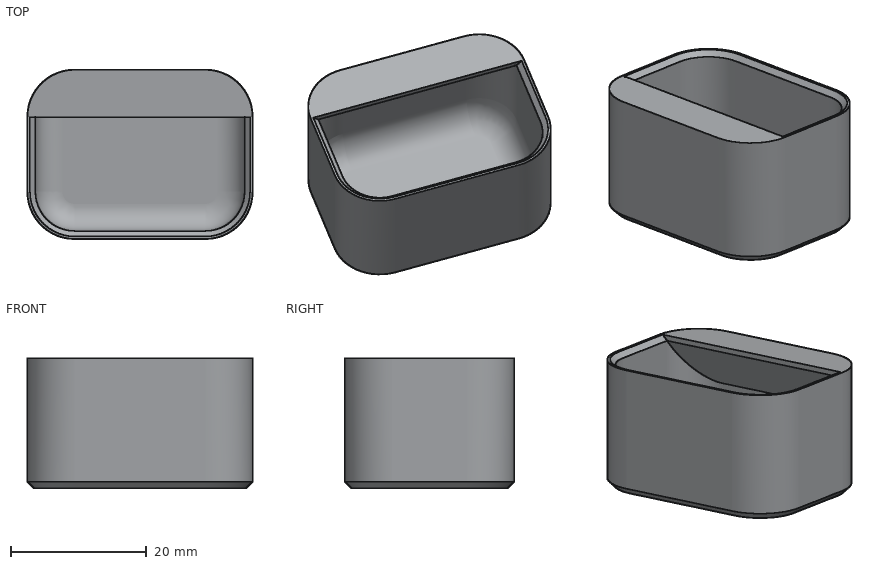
import cadquery as cq
import math

length = 33.25
width = 25.0
height = 19.2
corner_radius = 7.0
bottom_chamfer = 1.0

wall = 1.2
floor = 1.0
floor_fillet = 4.0
rim_chamfer = 0.8
rim_taper = 45.0

shelf_depth = corner_radius
shelf_edge_thickness = rim_chamfer
shelf_overhang_angle = 50.0


def rounded_block(block_length, block_width, block_height, radius):
    """Upright block centred on Z, standing on Z = 0, with rounded vertical edges."""
    block = cq.Workplane("XY").box(block_length, block_width, block_height, centered=(True, True, False))
    return block.edges("|Z").fillet(radius)


def make_body():
    body = rounded_block(length, width, height, corner_radius)
    return body.faces("<Z").chamfer(bottom_chamfer)


def make_cavity():
    """Space inside the walls: rounded at the floor and flared at the rim."""
    cavity = rounded_block(
        length - 2 * wall,
        width - 2 * wall,
        height - floor,
        corner_radius - wall,
    )
    cavity = cavity.faces("<Z").edges().fillet(floor_fillet)
    cavity = cavity.translate((0, 0, floor))

    rim_wall = wall - rim_chamfer
    mouth = cq.Sketch().rect(length - 2 * rim_wall, width - 2 * rim_wall)
    mouth = mouth.vertices().fillet(corner_radius - rim_wall)
    flare = cq.Workplane("XY", origin=(0, 0, height)).placeSketch(mouth)
    flare = flare.extrude(-rim_chamfer, taper=rim_taper)
    return cavity.union(flare)


def make_shelf():
    """Wedge behind the opening, with a short front edge and a sloped underside."""
    back = width / 2
    front = back - shelf_depth
    edge_bottom = height - shelf_edge_thickness
    back_bottom = edge_bottom - shelf_depth * math.tan(math.radians(shelf_overhang_angle))
    profile = [
        (front, height),
        (front, edge_bottom),
        (back, back_bottom),
        (back, height),
    ]
    return cq.Workplane("YZ").polyline(profile).close().extrude(length / 2, both=True)


result = make_body().cut(make_cavity().cut(make_shelf()))